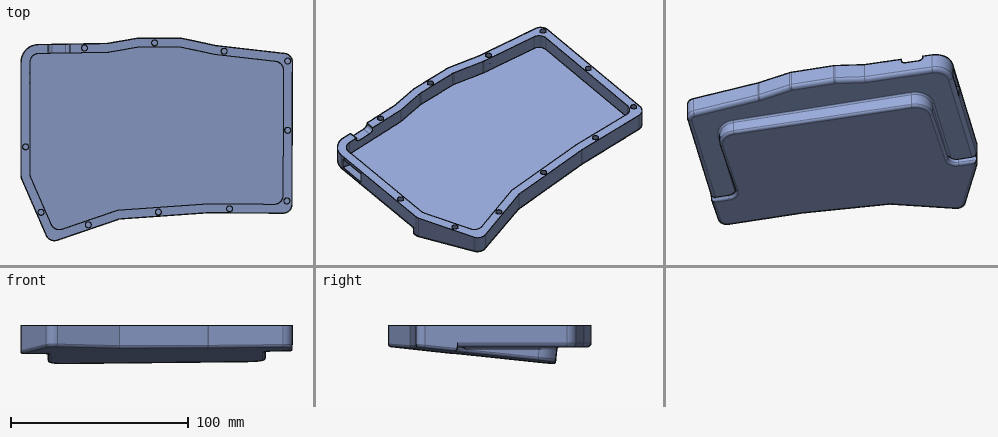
import cadquery as cq
import math

BEND_RADIUS = 5.0
BACK_LEFT_RADIUS = 10.0
OUTLINE = [
    (0, 35.6, BEND_RADIUS),
    (16.0, -1.2, BEND_RADIUS),
    (55.5, 12.2, 0),
    (105.3, 15.7, BEND_RADIUS),
    (152.5, 15.5, BEND_RADIUS),
    (152.8, 105.0, BEND_RADIUS),
    (109.9, 109.9, BEND_RADIUS),
    (90.6, 114.0, BEND_RADIUS),
    (65.3, 114.0, BEND_RADIUS),
    (48.5, 111.1, 0),
    (0, 110.3, BACK_LEFT_RADIUS),
]
LENGTH = max(x for x, y, radius in OUTLINE)

WALL = 5.0
POCKET_DEPTH = 9.3
PLATE_DEPTH = 12.2
PLATE_EDGE_RADIUS = 2.5

UNDERSIDE_DEPTH = 12.0
UNDERSIDE_PITCH = 6.0
UNDERSIDE_ROLL = 0.6
UNDERSIDE_EDGE_RADIUS = 1.5
UNDERSIDE = cq.Plane((0, 0, -UNDERSIDE_DEPTH)).rotated((-UNDERSIDE_PITCH, -UNDERSIDE_ROLL, 0))

FOOT_INSET = 15.3
FOOT_LEFT = FOOT_INSET
FOOT_RIGHT = LENGTH - FOOT_INSET
FOOT_STEP_Y = 38.5
FOOT_BACK_Y = 94.5
FOOT_BACK_RADIUS = 10.0
FOOT_STEP_RADIUS = 5.0
COVE_RADIUS = 1.0

HOLE_DIAMETER = 3.4
HOLE_DEPTH = 5.0
HOLE_CENTRES = [
    (35.8, 108.5),
    (75.2, 111.4),
    (114.3, 106.7),
    (150.0, 101.2),
    (150.0, 62.2),
    (149.6, 22.5),
    (117.4, 18.0),
    (77.3, 16.2),
    (37.9, 9.0),
    (11.3, 16.0),
    (2.6, 52.9),
]

NOTCH_LEFT_X = 15.1
NOTCH_WIDTH = 12.4
NOTCH_DEPTH = 3.2
NOTCH_CORNER_RADIUS = 2.5

WINDOW_CENTRE_Y = 91.7
WINDOW_OUTER_SIZE = (15.3, 6.7)
WINDOW_OUTER_TOP = 2.0
WINDOW_INNER_SIZE = (5.0, 1.4)
WINDOW_INNER_TOP = 2.1

OVERSIZE = 30.5


def corner_directions(points, index):
    """Corner position and the unit directions to the previous and next corner."""
    here = cq.Vector(*points[index])
    previous = cq.Vector(*points[index - 1])
    following = cq.Vector(*points[(index + 1) % len(points)])
    return here, (previous - here).normalized(), (following - here).normalized()


def rounded_polygon(plane, corners):
    """Closed polygon through (x, y, radius) corners, each rounded by a tangent arc."""
    points = [(x, y) for x, y, radius in corners]
    nodes = []
    for index, (x, y, radius) in enumerate(corners):
        corner, back, ahead = corner_directions(points, index)
        half_angle = back.getAngle(ahead) / 2
        tangent = radius / math.tan(half_angle)
        to_arc = radius / math.sin(half_angle) - radius
        middle = corner + (back + ahead).normalized() * to_arc
        nodes.append([p.toTuple()[:2] for p in (corner + back * tangent, middle, corner + ahead * tangent)])
    path = cq.Workplane(plane).moveTo(*nodes[-1][2])
    for (start, middle, end), (x, y, radius) in zip(nodes, corners):
        path = path.lineTo(*start)
        if radius:
            path = path.threePointArc(middle, end)
    return path.close()


def inset_corners(corners, distance, largest_radius):
    """Corners of the counter-clockwise polygon moved inward, with limited corner radii."""
    points = [(x, y) for x, y, radius in corners]
    inset = []
    for index, (x, y, radius) in enumerate(corners):
        corner, back, ahead = corner_directions(points, index)
        moved = corner + (back + ahead) * (-distance / back.cross(ahead).z)
        inset.append((moved.x, moved.y, min(radius, largest_radius)))
    return inset


def outline_prism(depth):
    """Case outline extruded down from the rim top."""
    return rounded_polygon("XY", OUTLINE).extrude(-depth)


def make_plate():
    """Flat-bottomed body behind the step, its bottom edge rounded."""
    plate = outline_prism(PLATE_DEPTH).faces("<Z").edges().fillet(PLATE_EDGE_RADIUS)
    front = cq.Workplane("XY").box(LENGTH, FOOT_STEP_Y, 2 * PLATE_DEPTH, centered=(False, False, True))
    return plate.cut(front.translate((0, -WALL, 0)))


def make_base():
    """Front part and foot above the sloping underside, its bottom edge rounded."""
    footprint = [
        (-LENGTH, -LENGTH, 0),
        (2 * LENGTH, -LENGTH, 0),
        (2 * LENGTH, FOOT_STEP_Y, 0),
        (FOOT_RIGHT, FOOT_STEP_Y, FOOT_STEP_RADIUS),
        (FOOT_RIGHT, FOOT_BACK_Y, FOOT_BACK_RADIUS),
        (FOOT_LEFT, FOOT_BACK_Y, FOOT_BACK_RADIUS),
        (FOOT_LEFT, FOOT_STEP_Y, FOOT_STEP_RADIUS),
        (-LENGTH, FOOT_STEP_Y, 0),
    ]
    base = rounded_polygon(UNDERSIDE, footprint).extrude(OVERSIZE)
    base = outline_prism(OVERSIZE).intersect(base)
    return base.faces("<Z").edges().fillet(UNDERSIDE_EDGE_RADIUS)


def make_cove():
    """Fillet along the sides and back of the foot where it meets the flat bottom."""
    footprint = [
        (FOOT_LEFT, 0, FOOT_BACK_RADIUS),
        (FOOT_RIGHT, 0, FOOT_BACK_RADIUS),
        (FOOT_RIGHT, FOOT_BACK_Y, FOOT_BACK_RADIUS),
        (FOOT_LEFT, FOOT_BACK_Y, FOOT_BACK_RADIUS),
    ]
    foot = rounded_polygon(UNDERSIDE, footprint).extrude(OVERSIZE, both=True)
    slab = cq.Workplane("XY", origin=(0, 0, -PLATE_DEPTH)).rect(4 * LENGTH, 4 * LENGTH).extrude(COVE_RADIUS)
    root_level = cq.selectors.BoxSelector(
        (FOOT_LEFT - COVE_RADIUS, -COVE_RADIUS, -PLATE_DEPTH - COVE_RADIUS / 2),
        (FOOT_RIGHT + COVE_RADIUS, FOOT_BACK_Y + COVE_RADIUS, -PLATE_DEPTH + COVE_RADIUS / 2),
    )
    root = foot.union(slab).edges(root_level).fillet(COVE_RADIUS)
    margin = 2 * COVE_RADIUS
    zone = (
        cq.Workplane("XY", origin=(FOOT_LEFT - margin, FOOT_STEP_Y, -PLATE_DEPTH - COVE_RADIUS))
        .rect(FOOT_RIGHT - FOOT_LEFT + 2 * margin, FOOT_BACK_Y - FOOT_STEP_Y + margin, centered=False)
        .extrude(2 * COVE_RADIUS)
    )
    return root.intersect(zone)


def make_pocket():
    """Inside of the tray, one wall thickness in from the outline."""
    inner = inset_corners(OUTLINE, WALL, BEND_RADIUS)
    return rounded_polygon("XY", inner).extrude(-POCKET_DEPTH)


def make_holes():
    """Blind screw holes in the rim."""
    return cq.Workplane("XY").pushPoints(HOLE_CENTRES).circle(HOLE_DIAMETER / 2).extrude(-HOLE_DEPTH)


def make_notch():
    """Round-bottomed slot across the back wall, open at the rim."""
    back_y = OUTLINE[-1][1]
    slot = cq.Workplane("XY").box(NOTCH_WIDTH, 2 * WALL, 2 * NOTCH_DEPTH, centered=(False, True, True))
    slot = slot.edges("|Y and <Z").fillet(NOTCH_CORNER_RADIUS)
    return slot.translate((NOTCH_LEFT_X, back_y, 0))


def make_window():
    """Tapered opening from the outer to the inner face of the left wall."""
    outer_y, outer_z = WINDOW_OUTER_SIZE
    inner_y, inner_z = WINDOW_INNER_SIZE
    outer_centre = -WINDOW_OUTER_TOP - outer_z / 2
    inner_centre = -WINDOW_INNER_TOP - inner_z / 2
    return (
        cq.Workplane("YZ", origin=(0, WINDOW_CENTRE_Y, outer_centre))
        .rect(outer_y, outer_z)
        .workplane(offset=WALL)
        .center(0, inner_centre - outer_centre)
        .rect(inner_y, inner_z)
        .loft(ruled=True)
    )


body = make_plate().union(make_base()).union(make_cove())
tray = body.cut(make_pocket())
result = tray.cut(make_holes()).cut(make_notch()).cut(make_window())